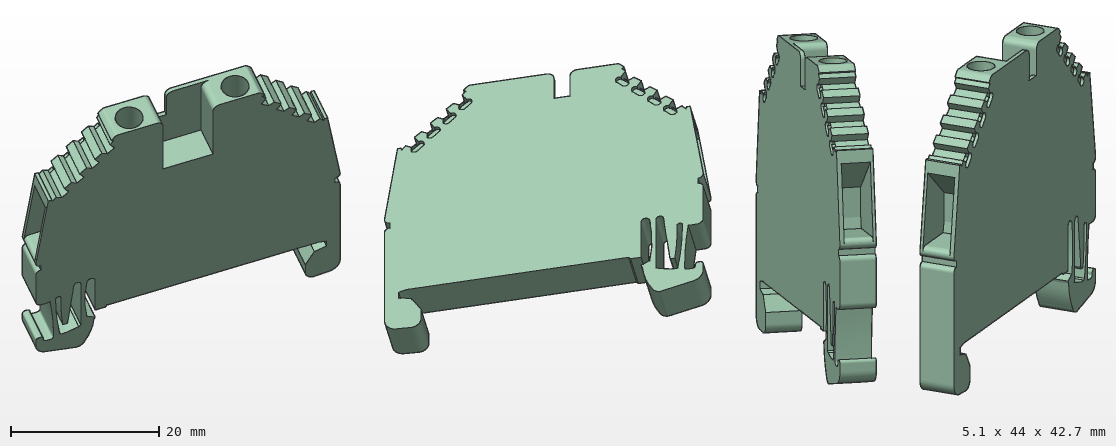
import cadquery as cq
import math

WIDTH = 5.1
HALF_LENGTH = 22.0
HEIGHT = 42.7
WALL = 0.6
SPLIT_Z = 14.1
UNDERSIDE = 7.05

TOP_EDGE_Y = 10.08
TOP_ROUND_RADIUS = 0.65
TOP_BEVEL_END_Y = 10.9
TOP_NOSE = (11.1, 41.9)
TOP_STEP = (10.8, 41.65)
TOOTH_COUNT = 3
PITCH_Y = 2.2
PITCH_Z = 2.15
FIRST_CREST = (12.45, 39.78)
TOOTH_ROOT = (-0.8, -0.45)
TOOTH_NOSE = (1.0, -0.85)
TOOTH_HEEL = (0.4, -1.8)
SHOULDER_STEP = (19.6, 32.7)
SHOULDER_INNER_Y = 19.7
SHOULDER_OUTER_Y = 20.2
SHOULDER_Z = 33.0

NOTCH_TOP = 19.62
NOTCH_BOTTOM = 18.75
NOTCH_DEPTH = 0.75
SLOPE_FOOT_Z = NOTCH_TOP + NOTCH_DEPTH

MARKER_LENGTH = 2.15
MARKER_WIDTH = 1.05
MARKER_DEPTH = 0.5
MARKER_OFFSET = (-1.65, -0.5)

BAY_HALF_LENGTH = 3.6
BAY_FLOOR = 32.55
WINDOW_EDGE_Y = -1.4
WINDOW_FLOOR = 38.05
BLOCK_ROUND = 1.0

SCREW_HOLE_DIAMETER = 3.75
SCREW_HOLE_X = 2.85
SCREW_HOLE_Y = 7.65
SCREW_HOLE_DEPTH = 6.6

ENTRY_RIGHT = 4.65
ENTRY_TOP = 31.25
ENTRY_LIP_RADIUS = NOTCH_DEPTH
ENTRY_FLOOR = SLOPE_FOOT_Z + ENTRY_LIP_RADIUS
ENTRY_BACK_Y = 15.4
ENTRY_BACK_TOP = 26.8
ENTRY_SILL_TOP = 22.6
ENTRY_SILL_SETBACK = 0.3

LATCH_SLOT_Y = -13.4
LATCH_OUTER_Y = -19.95
LATCH_LEDGE_Z = 11.3
LATCH_CORNER_RADIUS = 0.9
HOOK_TOP = 4.4
HOOK_INNER_Y = -20.9
HOOK_TIP_RADIUS = 0.45
HOOK_FLOOR = 3.35
LEAF_FOOT_Y = -19.45
HOOK_INNER_RADIUS = 0.45


def offset(point, step):
    return point[0] + step[0], point[1] + step[1]


def tooth_crest(index):
    return FIRST_CREST[0] + index * PITCH_Y, FIRST_CREST[1] - index * PITCH_Z


def round_edge(solid, y, z, radius):
    """Round the edge that runs along X through the point (y, z)."""
    reach = 0.1
    box = cq.selectors.BoxSelector((-reach, y - reach, z - reach), (WIDTH + reach, y + reach, z + reach))
    return solid.edges(box).fillet(radius)


def upper_half():
    """The +Y half of the housing above the split height."""
    bevel = math.radians(45)
    round_end_y = TOP_EDGE_Y + TOP_ROUND_RADIUS * math.sin(bevel)
    round_end_z = HEIGHT - TOP_ROUND_RADIUS * (1 - math.cos(bevel))
    bevel_end_z = round_end_z - (TOP_BEVEL_END_Y - round_end_y)
    crest = tooth_crest(-1)
    outline = (
        cq.Workplane("YZ")
        .moveTo(0, SPLIT_Z)
        .lineTo(0, HEIGHT)
        .lineTo(TOP_EDGE_Y, HEIGHT)
        .radiusArc((round_end_y, round_end_z), TOP_ROUND_RADIUS)
        .lineTo(TOP_BEVEL_END_Y, bevel_end_z)
        .lineTo(*TOP_NOSE)
        .lineTo(*TOP_STEP)
        .lineTo(*offset(crest, TOOTH_NOSE))
        .lineTo(*offset(crest, TOOTH_HEEL))
    )
    for index in range(TOOTH_COUNT):
        crest = tooth_crest(index)
        outline = (
            outline.lineTo(*offset(crest, TOOTH_ROOT))
            .lineTo(*crest)
            .lineTo(*offset(crest, TOOTH_NOSE))
            .lineTo(*offset(crest, TOOTH_HEEL))
        )
    crest = tooth_crest(TOOTH_COUNT)
    outline = (
        outline.lineTo(*offset(crest, TOOTH_ROOT))
        .lineTo(*crest)
        .lineTo(*SHOULDER_STEP)
        .lineTo(SHOULDER_INNER_Y, SHOULDER_Z)
        .lineTo(SHOULDER_OUTER_Y, SHOULDER_Z)
        .lineTo(HALF_LENGTH, SLOPE_FOOT_Z)
        .radiusArc((HALF_LENGTH - NOTCH_DEPTH, NOTCH_TOP), NOTCH_DEPTH)
        .lineTo(HALF_LENGTH - NOTCH_DEPTH, NOTCH_BOTTOM)
        .radiusArc((HALF_LENGTH, NOTCH_BOTTOM - NOTCH_DEPTH), NOTCH_DEPTH)
        .lineTo(HALF_LENGTH, SPLIT_Z)
        .close()
    )
    return outline.extrude(WIDTH)


def lower_part():
    """Fixed foot at +Y, underside, and the spring latch at -Y, as one outline."""
    outline = (
        cq.Workplane("YZ")
        .moveTo(HALF_LENGTH, SPLIT_Z)
        .lineTo(HALF_LENGTH, 2.0)
        .threePointArc((21.55, 0.75), (20.5, 0.155))
        .lineTo(18.2, 0)
        .threePointArc((17.35, 0.4), (16.95, 1.3))
        .lineTo(16.95, 3.1)
        .lineTo(18.25, 5.3)
        .lineTo(20.0, 5.7)
        .lineTo(20.0, 6.7)
        .lineTo(19.65, 6.85)
        .lineTo(18.88, UNDERSIDE)
        .lineTo(-11.7, UNDERSIDE)
        .lineTo(-11.95, 6.75)
        .lineTo(LATCH_SLOT_Y, 6.75)
        .lineTo(LATCH_SLOT_Y, 13.1)
        .threePointArc((-14.05, 13.75), (-14.6, 13.3))
        .threePointArc((-14.9, 9.65), (-14.6, 5.9))
        .lineTo(LATCH_SLOT_Y, 5.3)
        .lineTo(-13.6, 4.85)
        .threePointArc((-14.05, 2.65), (-14.85, 0.9))
        .threePointArc((-15.4, 0.2), (-16.1, 0))
        .lineTo(-20.72, 1.05)
        .threePointArc((-21.65, 1.7), (-HALF_LENGTH, 2.85))
        .lineTo(-HALF_LENGTH, HOOK_TOP)
        .lineTo(HOOK_INNER_Y, HOOK_TOP)
        .lineTo(HOOK_INNER_Y, HOOK_FLOOR)
        .lineTo(LEAF_FOOT_Y, HOOK_FLOOR)
        .lineTo(LEAF_FOOT_Y, HOOK_TOP)
        .tangentArcPoint((LATCH_OUTER_Y, LATCH_LEDGE_Z), relative=False)
        .lineTo(-HALF_LENGTH, LATCH_LEDGE_Z)
        .lineTo(-HALF_LENGTH, SPLIT_Z)
        .close()
    )
    solid = outline.extrude(WIDTH)
    solid = round_edge(solid, -HALF_LENGTH, HOOK_TOP, HOOK_TIP_RADIUS)
    solid = round_edge(solid, HOOK_INNER_Y, HOOK_TOP, HOOK_TIP_RADIUS)
    solid = round_edge(solid, HOOK_INNER_Y, HOOK_FLOOR, HOOK_INNER_RADIUS)
    solid = round_edge(solid, LEAF_FOOT_Y, HOOK_FLOOR, HOOK_INNER_RADIUS)
    return round_edge(solid, -HALF_LENGTH, LATCH_LEDGE_Z, LATCH_CORNER_RADIUS)


def latch_opening():
    """Opening between the two latch leaves, with the tongue hanging into it."""
    outline = (
        cq.Workplane("YZ")
        .moveTo(-15.5, 4.5)
        .lineTo(-15.5, 13.25)
        .threePointArc((-16.0, 13.75), (-16.5, 13.38))
        .lineTo(-17.4, 5.95)
        .lineTo(-17.5, 5.68)
        .lineTo(-18.1, 5.68)
        .threePointArc((-18.35, 8.75), (-18.4, 11.6))
        .threePointArc((-18.75, 11.92), (-19.15, 11.55))
        .threePointArc((-19.05, 8.62), (-18.52, 4.0))
        .lineTo(-18.4, 3.8)
        .lineTo(-17.5, 3.85)
        .lineTo(-15.8, 4.25)
        .close()
    )
    return outline.extrude(WIDTH)


def marker_recess(index):
    """Shallow slot under a tooth gap of the +Y shoulder."""
    center = offset(tooth_crest(index), MARKER_OFFSET)
    slot = cq.Workplane("YZ").center(*center).slot2D(MARKER_LENGTH, MARKER_WIDTH, -45)
    return slot.extrude(MARKER_DEPTH)


def screw_hole():
    plane = cq.Workplane("XY", origin=(SCREW_HOLE_X, SCREW_HOLE_Y, HEIGHT))
    return plane.circle(SCREW_HOLE_DIAMETER / 2).extrude(-SCREW_HOLE_DEPTH)


def wire_entry():
    """Funnel with a rounded lip, open to the +Y end."""
    outside = HALF_LENGTH + 0.45
    slope = (HALF_LENGTH - SHOULDER_OUTER_Y) / (SHOULDER_Z - SLOPE_FOOT_Z)
    mouth_top_y = SHOULDER_OUTER_Y + slope * (SHOULDER_Z - ENTRY_TOP)
    outline = (
        cq.Workplane("YZ", origin=(WALL, 0, 0))
        .moveTo(outside, SLOPE_FOOT_Z)
        .lineTo(HALF_LENGTH, SLOPE_FOOT_Z)
        .radiusArc((HALF_LENGTH - ENTRY_LIP_RADIUS, ENTRY_FLOOR), -ENTRY_LIP_RADIUS)
        .lineTo(ENTRY_BACK_Y + ENTRY_SILL_SETBACK, ENTRY_FLOOR)
        .lineTo(ENTRY_BACK_Y, ENTRY_SILL_TOP)
        .lineTo(ENTRY_BACK_Y, ENTRY_BACK_TOP)
        .lineTo(mouth_top_y, ENTRY_TOP)
        .lineTo(outside, ENTRY_TOP)
        .close()
    )
    return outline.extrude(ENTRY_RIGHT - WALL)


def cut_on_both_ends(solid, tool):
    return solid.cut(tool).cut(tool.mirror("XZ"))


def cut_bay(solid):
    """Bay between the clamp blocks, the opening in its side wall, and the rounded rims."""
    bay = cq.Workplane("XY").box(WIDTH, 2 * BAY_HALF_LENGTH, HEIGHT, centered=(False, True, False))
    window = cq.Workplane("XY").box(WIDTH, BAY_HALF_LENGTH + WINDOW_EDGE_Y, HEIGHT, centered=False)
    solid = solid.cut(bay.translate((WALL, 0, BAY_FLOOR)))
    solid = solid.cut(window.translate((0, -BAY_HALF_LENGTH, WINDOW_FLOOR)))
    for rim_y in (BAY_HALF_LENGTH, WINDOW_EDGE_Y, -BAY_HALF_LENGTH):
        solid = round_edge(solid, rim_y, HEIGHT, BLOCK_ROUND)
    return solid


half = upper_half()
result = half.union(half.mirror("XZ")).union(lower_part()).clean()
result = result.cut(latch_opening())
result = cut_bay(result)
result = cut_on_both_ends(result, screw_hole())
result = cut_on_both_ends(result, wire_entry())
for tooth in range(TOOTH_COUNT + 1):
    result = cut_on_both_ends(result, marker_recess(tooth))
result = result.clean()